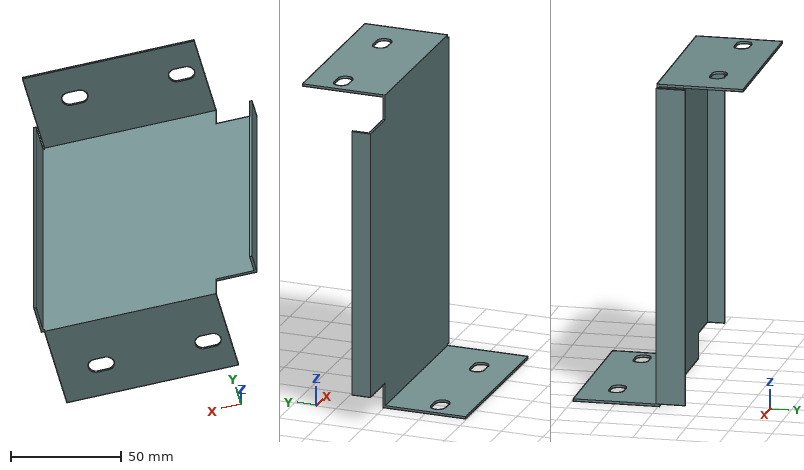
import cadquery as cq

sheet = 1.16
width = 101.0
height = 152.0

mount_depth = 40.0
left_depth = 9.0
right_depth = 13.5

left_notch_width = 19.0
left_notch_height = 12.0
right_relief = 1.66

slot_length = 12.0
slot_width = 7.0
slot_pitch = 50.0
slot_from_flange_end = 10.0
slot_from_free_edge = 16.0

mount_width = width - left_notch_width - right_relief
left_height = height - 2 * left_notch_height
right_height = height - 2 * right_relief


def box(size_x, size_y, size_z, corner):
    """Box whose lowest X, Y, Z corner is at the given point."""
    return cq.Workplane("XY").box(size_x, size_y, size_z, centered=False).translate(corner)


def make_web():
    """Flat plate with notched left corners and relieved right corners."""
    middle = box(mount_width, sheet, height, (left_notch_width, 0, 0))
    left = box(left_notch_width, sheet, left_height, (0, 0, left_notch_height))
    right = box(right_relief, sheet, right_height, (width - right_relief, 0, right_relief))
    return middle.union(left).union(right)


def make_side_flanges():
    """Left and right edges, both bent toward +Y."""
    left = box(sheet, left_depth, left_height, (0, 0, left_notch_height))
    right = box(sheet, right_depth, right_height, (width - sheet, 0, right_relief))
    return left.union(right)


def make_mount_flange(y_min, z_min, slot_y):
    """Horizontal flange with a row of two slots running along X."""
    flange = box(mount_width, mount_depth, sheet, (left_notch_width, y_min, z_min))
    first_slot_x = left_notch_width + slot_from_flange_end
    slots = (
        cq.Workplane("XY", origin=(0, 0, z_min))
        .pushPoints([(first_slot_x, slot_y), (first_slot_x + slot_pitch, slot_y)])
        .slot2D(slot_length, slot_width)
        .extrude(sheet)
    )
    return flange.cut(slots)


top_free_edge = mount_depth
bottom_free_edge = sheet - mount_depth
top_flange = make_mount_flange(0, height - sheet, top_free_edge - slot_from_free_edge)
bottom_flange = make_mount_flange(bottom_free_edge, 0, bottom_free_edge + slot_from_free_edge)

result = make_web().union(make_side_flanges()).union(top_flange).union(bottom_flange)